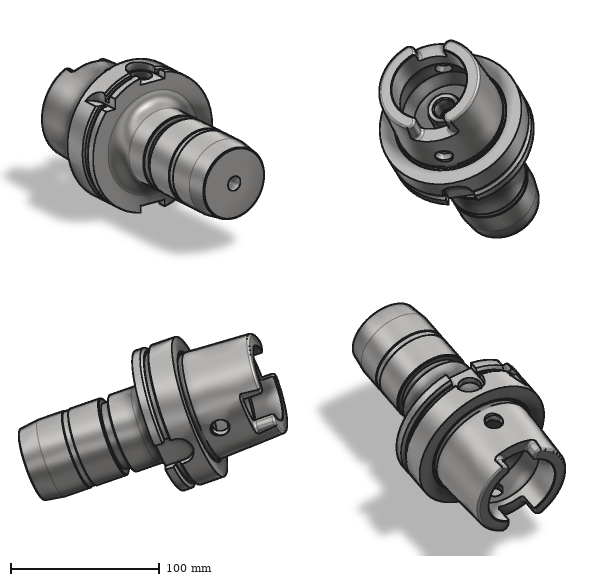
import cadquery as cq
import math


TAPER_LENGTH = 50.0
GAUGE_X = -10.0
GAUGE_RADIUS = 37.5
TAPER_SLOPE = 1 / 20
TAPER_END_X = -2.7
RELIEF_RADIUS = 75.3 / 2
RELIEF_CHAMFER = 0.8
TIP_ROUNDING = 1.65

FACE_GROOVE_OUTER_RADIUS = 39.5
FACE_GROOVE_INNER_RADIUS = 37.3
FACE_GROOVE_DEPTH = 0.8

FLANGE_RADIUS = 50.0
FLANGE_WIDTH = 29.0
GRIP_GROOVE_MOUTH_START_X = 16.9
GRIP_GROOVE_FLOOR_START_X = 17.9
GRIP_GROOVE_FLOOR_END_X = 21.55
GRIP_GROOVE_MOUTH_END_X = 23.15
GRIP_GROOVE_FLOOR_RADIUS = 46.0
GRIP_GROOVE_START_BEVEL_DEPTH = 1.7
GRIP_GROOVE_END_BEVEL_DEPTH = 2.6

NOSE_END_X = 121.7
NOSE_RADIUS = 55.0 / 2
NOSE_FILLET = 10.0
NECK_START_X = 56.1
NECK_END_X = 62.2
NECK_RADIUS = 47.0 / 2
NECK_EDGE_CHAMFER = 0.7
BAND_START_X = 84.4
BAND_END_X = 89.3
BAND_RADIUS = 54.0 / 2
NOSE_CONE_START_X = 107.7
NOSE_CONE_END_RADIUS = 25.6
NOSE_TIP_LENGTH = 0.6
NOSE_TIP_DEPTH = 0.8

BORE_RADIUS = 53.0 / 2
BORE_MOUTH_CHAMFER = 0.5
RECESS_RADIUS = 63.0 / 2
RECESS_START_X = -30.0
RECESS_SHOULDER_LENGTH = 2.5
RECESS_END_X = -9.0
RECESS_BACK_BEVEL = 6.5

SPIGOT_RADIUS = 24.0 / 2
SPIGOT_END_RADIUS = 11.1
SPIGOT_END_X = -15.7
SPIGOT_CONE_LENGTH = 3.1
SPIGOT_BORE_MOUTH_RADIUS = 16.0 / 2
SPIGOT_BORE_RADIUS = 7.0
SPIGOT_BORE_DEPTH = 14.0
PASSAGE_MOUTH_RADIUS = 12.0 / 2
PASSAGE_RADIUS = 10.5 / 2

DRIVE_SLOT_WIDTH = 20.0
DRIVE_SLOT_DEPTH_TOP = 10.0
DRIVE_SLOT_DEPTH_BOTTOM = 15.0
DRIVE_SLOT_SHELF_HEIGHT = 32.0
DRIVE_SLOT_EDGE_RADIUS = 5.0
DRIVE_SLOT_FLOOR_FILLET = 2.0

CROSS_HOLE_RADIUS = 12.0 / 2
CROSS_HOLE_X = -15.2
CROSS_HOLE_COUNTERSINK = 0.7
SPIGOT_CLEARANCE = 1.0

RIM_CUT_X = 15.0
RIM_CUTTER_RADIUS = 10.0
KEYWAY_FLOOR_HEIGHT = 44.0
KEYWAY_HOLE_RADIUS = 16.0 / 2
KEYWAY_HOLE_DEPTH = 5.0
NOTCH_OFFSET = 31.4


def taper_radius(x):
    return GAUGE_RADIUS + (x - GAUGE_X) * TAPER_SLOPE


def revolve_about_x(profile):
    return profile.close().revolve(360, (0, 0, 0), (1, 0, 0))


def make_outer_body():
    fillet_end_x = FLANGE_WIDTH + NOSE_FILLET
    fillet_center = (fillet_end_x, NOSE_RADIUS + NOSE_FILLET)
    fillet_middle = (
        fillet_center[0] - NOSE_FILLET * math.cos(math.pi / 4),
        fillet_center[1] - NOSE_FILLET * math.sin(math.pi / 4),
    )
    band_step = NOSE_RADIUS - BAND_RADIUS
    neck_edge_radius = NOSE_RADIUS - NECK_EDGE_CHAMFER
    profile = (
        cq.Workplane("XY")
        .moveTo(-TAPER_LENGTH, 0)
        .lineTo(-TAPER_LENGTH, taper_radius(-TAPER_LENGTH))
        .lineTo(TAPER_END_X, taper_radius(TAPER_END_X))
        .lineTo(TAPER_END_X + RELIEF_CHAMFER, RELIEF_RADIUS)
        .lineTo(-FACE_GROOVE_DEPTH, RELIEF_RADIUS)
        .lineTo(FACE_GROOVE_DEPTH, FACE_GROOVE_INNER_RADIUS)
        .lineTo(FACE_GROOVE_DEPTH, FACE_GROOVE_OUTER_RADIUS - FACE_GROOVE_DEPTH)
        .lineTo(0, FACE_GROOVE_OUTER_RADIUS)
        .lineTo(0, FLANGE_RADIUS)
        .lineTo(GRIP_GROOVE_MOUTH_START_X, FLANGE_RADIUS)
        .lineTo(GRIP_GROOVE_FLOOR_START_X, FLANGE_RADIUS - GRIP_GROOVE_START_BEVEL_DEPTH)
        .lineTo(GRIP_GROOVE_FLOOR_START_X, GRIP_GROOVE_FLOOR_RADIUS)
        .lineTo(GRIP_GROOVE_FLOOR_END_X, GRIP_GROOVE_FLOOR_RADIUS)
        .lineTo(GRIP_GROOVE_FLOOR_END_X, FLANGE_RADIUS - GRIP_GROOVE_END_BEVEL_DEPTH)
        .lineTo(GRIP_GROOVE_MOUTH_END_X, FLANGE_RADIUS)
        .lineTo(FLANGE_WIDTH, FLANGE_RADIUS)
        .lineTo(FLANGE_WIDTH, fillet_center[1])
        .threePointArc(fillet_middle, (fillet_end_x, NOSE_RADIUS))
        .lineTo(NECK_START_X - NECK_EDGE_CHAMFER, NOSE_RADIUS)
        .lineTo(NECK_START_X, neck_edge_radius)
        .lineTo(NECK_START_X, NECK_RADIUS)
        .lineTo(NECK_END_X, NECK_RADIUS)
        .lineTo(NECK_END_X, neck_edge_radius)
        .lineTo(NECK_END_X + NECK_EDGE_CHAMFER, NOSE_RADIUS)
        .lineTo(BAND_START_X, NOSE_RADIUS)
        .lineTo(BAND_START_X + band_step, BAND_RADIUS)
        .lineTo(BAND_END_X - band_step, BAND_RADIUS)
        .lineTo(BAND_END_X, NOSE_RADIUS)
        .lineTo(NOSE_CONE_START_X, NOSE_RADIUS)
        .lineTo(NOSE_END_X - NOSE_TIP_LENGTH, NOSE_CONE_END_RADIUS)
        .lineTo(NOSE_END_X, NOSE_CONE_END_RADIUS - NOSE_TIP_DEPTH)
        .lineTo(NOSE_END_X, 0)
    )
    return revolve_about_x(profile)


def make_taper_bore():
    """Bore in the taper, with a wider recess behind its mouth; the spigot stays standing on the floor."""
    floor_x = RECESS_END_X + RECESS_BACK_BEVEL
    profile = (
        cq.Workplane("XY")
        .moveTo(-TAPER_LENGTH, 0)
        .lineTo(-TAPER_LENGTH, BORE_RADIUS + BORE_MOUTH_CHAMFER)
        .lineTo(-TAPER_LENGTH + BORE_MOUTH_CHAMFER, BORE_RADIUS)
        .lineTo(RECESS_START_X, BORE_RADIUS)
        .lineTo(RECESS_START_X + RECESS_SHOULDER_LENGTH, RECESS_RADIUS)
        .lineTo(RECESS_END_X, RECESS_RADIUS)
        .lineTo(floor_x, RECESS_RADIUS - RECESS_BACK_BEVEL)
        .lineTo(floor_x, SPIGOT_RADIUS)
        .lineTo(SPIGOT_END_X + SPIGOT_CONE_LENGTH, SPIGOT_RADIUS)
        .lineTo(SPIGOT_END_X, SPIGOT_END_RADIUS)
        .lineTo(SPIGOT_END_X, 0)
    )
    return revolve_about_x(profile)


def make_coolant_passage():
    """Chamfered spigot bore that steps down to the passage running out through the nose."""
    spigot_chamfer = SPIGOT_BORE_MOUTH_RADIUS - SPIGOT_BORE_RADIUS
    passage_chamfer = PASSAGE_MOUTH_RADIUS - PASSAGE_RADIUS
    step_x = SPIGOT_END_X + SPIGOT_BORE_DEPTH
    profile = (
        cq.Workplane("XY")
        .moveTo(SPIGOT_END_X, 0)
        .lineTo(SPIGOT_END_X, SPIGOT_BORE_MOUTH_RADIUS)
        .lineTo(SPIGOT_END_X + spigot_chamfer, SPIGOT_BORE_RADIUS)
        .lineTo(step_x, SPIGOT_BORE_RADIUS)
        .lineTo(step_x, PASSAGE_MOUTH_RADIUS)
        .lineTo(step_x + passage_chamfer, PASSAGE_RADIUS)
        .lineTo(NOSE_END_X, PASSAGE_RADIUS)
        .lineTo(NOSE_END_X, 0)
    )
    return revolve_about_x(profile)


def make_drive_slot(depth):
    """Slot cutter for the +Z side: flat walls that flare through an arc onto a level shelf."""
    half_width = DRIVE_SLOT_WIDTH / 2
    arc_y = half_width + DRIVE_SLOT_EDGE_RADIUS
    arc_z = DRIVE_SLOT_SHELF_HEIGHT - DRIVE_SLOT_EDGE_RADIUS
    middle_y = arc_y - DRIVE_SLOT_EDGE_RADIUS * math.cos(math.pi / 4)
    middle_z = arc_z + DRIVE_SLOT_EDGE_RADIUS * math.sin(math.pi / 4)
    inner_z = SPIGOT_RADIUS
    outer_z = FLANGE_RADIUS
    outer_y = half_width + DRIVE_SLOT_WIDTH
    cutter = (
        cq.Workplane("YZ", origin=(-TAPER_LENGTH, 0, 0))
        .moveTo(-half_width, inner_z)
        .lineTo(half_width, inner_z)
        .lineTo(half_width, arc_z)
        .threePointArc((middle_y, middle_z), (arc_y, DRIVE_SLOT_SHELF_HEIGHT))
        .lineTo(outer_y, DRIVE_SLOT_SHELF_HEIGHT)
        .lineTo(outer_y, outer_z)
        .lineTo(-outer_y, outer_z)
        .lineTo(-outer_y, DRIVE_SLOT_SHELF_HEIGHT)
        .lineTo(-arc_y, DRIVE_SLOT_SHELF_HEIGHT)
        .threePointArc((-middle_y, middle_z), (-half_width, arc_z))
        .close()
        .extrude(depth)
    )
    return cutter.faces(">X").edges("not >Z").fillet(DRIVE_SLOT_FLOOR_FILLET)


def make_cross_hole():
    """Countersunk hole cutter for the +Z side, running from just above the spigot to the taper."""
    start_z = SPIGOT_RADIUS + SPIGOT_CLEARANCE
    surface_z = taper_radius(CROSS_HOLE_X)
    sink_z = surface_z - CROSS_HOLE_COUNTERSINK
    top_z = surface_z + CROSS_HOLE_COUNTERSINK
    profile = (
        cq.Workplane("XZ")
        .moveTo(CROSS_HOLE_X, start_z)
        .lineTo(CROSS_HOLE_X + CROSS_HOLE_RADIUS, start_z)
        .lineTo(CROSS_HOLE_X + CROSS_HOLE_RADIUS, sink_z)
        .lineTo(CROSS_HOLE_X + CROSS_HOLE_RADIUS + top_z - sink_z, top_z)
        .lineTo(CROSS_HOLE_X, top_z)
        .close()
    )
    return profile.revolve(360, (CROSS_HOLE_X, 0, 0), (CROSS_HOLE_X, 1, 0))


def make_rim_cut(center_y, floor_z):
    """Slot of cutter width with a round end, open to the nose side of the flange."""
    run_out = FLANGE_WIDTH - RIM_CUT_X
    height = FLANGE_RADIUS
    round_end = cq.Workplane("XY").circle(RIM_CUTTER_RADIUS).extrude(height)
    straight = cq.Workplane("XY").box(run_out, 2 * RIM_CUTTER_RADIUS, height, centered=(False, True, False))
    return round_end.union(straight).translate((RIM_CUT_X, center_y, floor_z))


def make_keyway_hole():
    """Blind hole in the floor of the +Z keyway."""
    floor = cq.Workplane("XY", origin=(RIM_CUT_X, 0, KEYWAY_FLOOR_HEIGHT))
    return floor.circle(KEYWAY_HOLE_RADIUS).extrude(-KEYWAY_HOLE_DEPTH)


def opposite(cutter):
    """Turn a cutter half a turn about the part axis, onto the -Z side."""
    return cutter.rotate((0, 0, 0), (1, 0, 0), 180)


cross_hole = make_cross_hole()
keyway = make_rim_cut(0, KEYWAY_FLOOR_HEIGHT)
corner_notch = make_rim_cut(-NOTCH_OFFSET - RIM_CUTTER_RADIUS, NOTCH_OFFSET)

body = make_outer_body()
body = body.cut(make_drive_slot(DRIVE_SLOT_DEPTH_TOP))
body = body.cut(opposite(make_drive_slot(DRIVE_SLOT_DEPTH_BOTTOM)))
body = body.faces("<X").edges().fillet(TIP_ROUNDING)
body = body.cut(make_taper_bore())
body = body.cut(make_coolant_passage())
body = body.cut(cross_hole).cut(opposite(cross_hole))
body = body.cut(keyway).cut(opposite(keyway))
body = body.cut(make_keyway_hole())
result = body.cut(corner_notch)